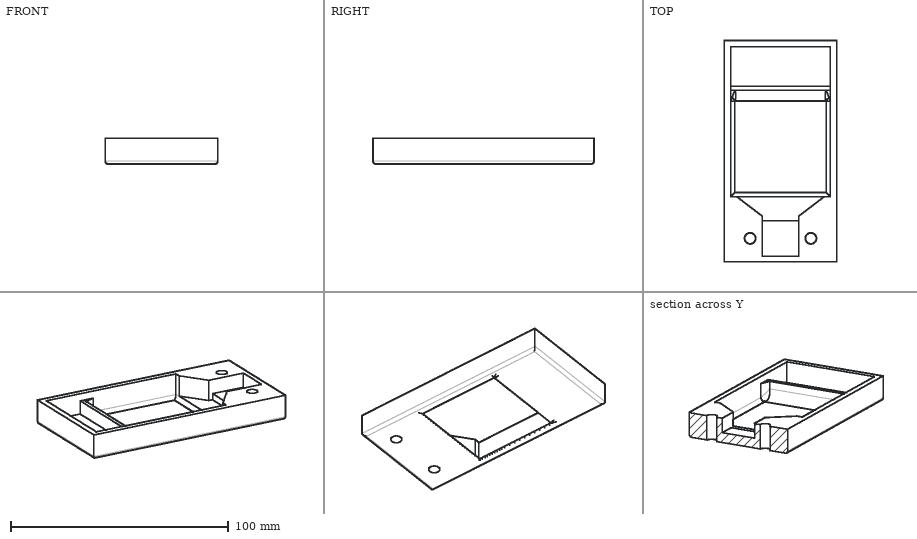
import cadquery as cq

width = 52.0
length = 102.0
height = 12.0
wall = 3.0
bottom_edge_radius = 1.5

inner_half_width = width / 2 - wall
inner_back = length / 2 - wall

low_floor = 2.0

rib_top = 8.5
rib_thickness = 2.0
bay_front = 30.0
rib_front = bay_front - rib_thickness

window_front = -21.0
side_cove_radius = 2.0
rib_cove_radius = 5.0

pocket_floor = 5.0
pocket_width = 16.7
pocket_front = -48.4
pocket_back = -32.0
funnel_neck = -30.0
funnel_mouth_width = 40.3

hole_diameter = 5.0
hole_spacing = 28.0
hole_y = (pocket_front + pocket_back) / 2

gusset_width = 2.0
gusset_length = rib_cove_radius
gusset_front = rib_front - gusset_length


def block(x_min, x_max, y_min, y_max, z_min, z_max):
    """Box given by its limits along each axis."""
    size = (x_max - x_min, y_max - y_min, z_max - z_min)
    return cq.Workplane("XY").box(*size, centered=False).translate((x_min, y_min, z_min))


def coved_section(plane, left, right, left_radius, right_radius, top):
    """Closed section standing on Z = 0 whose two lower corners are rounded."""
    diagonal = 1 - 0.5 ** 0.5
    return (
        cq.Workplane(plane)
        .moveTo(left, top)
        .lineTo(left, left_radius)
        .threePointArc(
            (left + diagonal * left_radius, diagonal * left_radius),
            (left + left_radius, 0),
        )
        .lineTo(right - right_radius, 0)
        .threePointArc(
            (right - diagonal * right_radius, diagonal * right_radius),
            (right, right_radius),
        )
        .lineTo(right, top)
        .close()
    )


def window_space():
    """Space of the window: coved along the front, the rib and both sides."""
    along_y = coved_section(
        "YZ", window_front, rib_front, side_cove_radius, rib_cove_radius, height
    ).extrude(inner_half_width, both=True)
    along_x = coved_section(
        "XZ", -inner_half_width, inner_half_width, side_cove_radius, side_cove_radius, height
    ).extrude(length / 2, both=True)
    return along_y.intersect(along_x)


def funnel_space():
    """Space tapering from the window to the pocket, ending in a straight neck."""
    return (
        cq.Workplane("XY", origin=(0, 0, low_floor))
        .polyline([
            (-funnel_mouth_width / 2, window_front),
            (-pocket_width / 2, funnel_neck),
            (-pocket_width / 2, pocket_back),
            (pocket_width / 2, pocket_back),
            (pocket_width / 2, funnel_neck),
            (funnel_mouth_width / 2, window_front),
        ])
        .close()
        .extrude(height - low_floor)
    )


def pocket_space():
    """Rectangular pocket whose floor is a step above the funnel floor."""
    return block(
        -pocket_width / 2, pocket_width / 2, pocket_front, pocket_back, pocket_floor, height
    )


def hole_tools():
    """Pair of cylinders for the through holes."""
    return (
        cq.Workplane("XY")
        .pushPoints([(-hole_spacing / 2, hole_y), (hole_spacing / 2, hole_y)])
        .circle(hole_diameter / 2)
        .extrude(height)
    )


def bay_space():
    """Shallow bay between the back wall and the rib."""
    return block(
        -inner_half_width, inner_half_width, bay_front, inner_back, low_floor, height
    )


def space_above_rib():
    """Clearance over the rib and the gussets, up to the rim."""
    return block(
        -inner_half_width, inner_half_width, gusset_front, bay_front, rib_top, height
    )


def make_housing():
    body = block(-width / 2, width / 2, -length / 2, length / 2, 0, height)
    body = body.faces("<Z").edges().fillet(bottom_edge_radius)
    body = body.cut(window_space())
    body = body.cut(bay_space())
    body = body.cut(space_above_rib())
    body = body.cut(funnel_space())
    body = body.cut(pocket_space())
    return body.cut(hole_tools())


def gusset_clearance():
    """Space between the gussets; it widens, and its coves shrink, from the rib to the window."""
    rib_half_width = inner_half_width - gusset_width
    at_rib = coved_section(
        "XZ", -rib_half_width, rib_half_width, rib_cove_radius, rib_cove_radius, rib_top
    )
    at_window = coved_section(
        "XZ", -inner_half_width, inner_half_width, side_cove_radius, side_cove_radius, rib_top
    )
    rib_wire = at_rib.val().translate(cq.Vector(0, rib_front, 0))
    window_wire = at_window.val().translate(cq.Vector(0, gusset_front, 0))
    return cq.Workplane(cq.Solid.makeLoft([rib_wire, window_wire], True))


def make_gusset(side, housing):
    """Corner gusset seated on the coves; side is -1 for the -X wall and 1 for the +X wall."""
    x_min, x_max = sorted((0, side * inner_half_width))
    corner = block(x_min, x_max, gusset_front, rib_front, 0, rib_top)
    return corner.cut(gusset_clearance()).cut(housing)


housing = make_housing()
gussets = [make_gusset(side, housing) for side in (-1, 1)]

result = cq.Compound.makeCompound([
    housing.val(),
    *[solid for gusset in gussets for solid in gusset.solids().vals()],
])